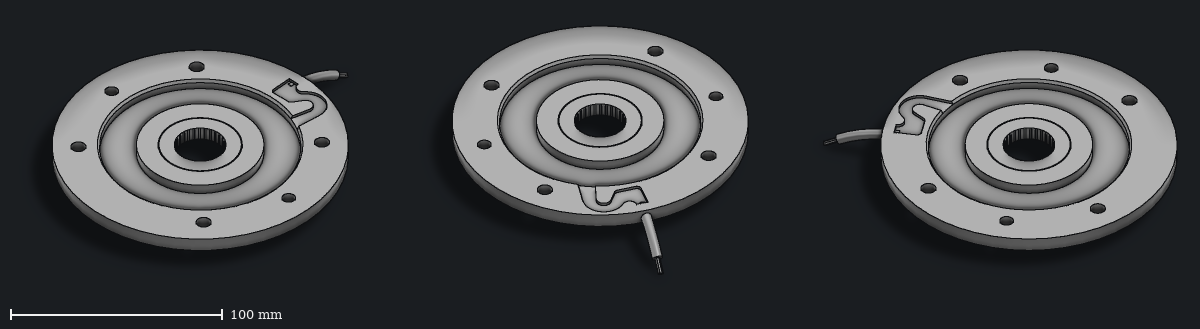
import cadquery as cq
import math

flange_radius = 70.0
flange_thickness = 7.1
spigot_radius = 47.5
spigot_height = 3.0
housing_height = flange_thickness + spigot_height

pocket_radius = 47.5
pocket_depth = 5.0
boss_radius = 30.0
lead_in_width = 1.0
lead_in_depth = 1.44

bolt_circle_radius = 57.5
side_hole_diameter = 6.5
diagonal_hole_diameter = 7.1
side_hole_angles = (0, 180)
diagonal_hole_angles = (45, 135, 225, 315)

hub_radius = 19.5
hub_clearance = 0.42
hub_thickness = 7.0
tooth_count = 28
tooth_tip_radius = 11.8
tooth_root_radius = 12.0
bore_rim_radius = 12.2
tooth_lead_in = 1.2
groove_tip_width = 1.0
groove_root_width = 0.8
groove_run_in = 0.8

channel_depth = lead_in_depth
chamber_left = -2.9
chamber_top = 64.2
chamber_bottom = 51.5
chamber_fillet = 2.0
dip_x = 6.3
dip_radius = 3.4
bend_x = 16.2
bend_outer_radius = 10.0
bend_inner_radius = 3.5
chamber_flank_angle = 34.5
outer_exit_angle = 7.5
inner_exit_angle = 15.7
channel_end_y = 38.9

cable_radius = 2.5
cable_start = cq.Vector(-0.7, 62.0, -3.7)
cable_heading_angle = 4.0
cable_bend_radius = 57.8
cable_bend_angle = 30.8
wire_radius = 0.55
wire_count = 4
wire_length = 8.0
wire_circle_radius = 0.71

up = cq.Vector(0, 0, 1)


def polar_points(radius, angles):
    return [
        (radius * math.cos(math.radians(angle)), radius * math.sin(math.radians(angle)))
        for angle in angles
    ]


def point_on_circle(centre, radius, angle):
    turn = math.radians(angle)
    return (centre[0] + radius * math.cos(turn), centre[1] + radius * math.sin(turn))


def point_down_to(start, tilt, end_y):
    """End of a line that runs from start down to end_y, leaning to -X by the tilt angle."""
    drop = start[1] - end_y
    return (start[0] - drop * math.tan(math.radians(tilt)), end_y)


def make_housing_shell():
    """Flange, spigot, pocket with its conical lead-in, boss and bore, as one turned profile."""
    bore_radius = hub_radius + hub_clearance
    profile = [
        (bore_radius, 0),
        (boss_radius, 0),
        (boss_radius, -pocket_depth),
        (pocket_radius, -pocket_depth),
        (pocket_radius, -lead_in_depth),
        (pocket_radius + lead_in_width, 0),
        (flange_radius, 0),
        (flange_radius, -flange_thickness),
        (spigot_radius, -flange_thickness),
        (spigot_radius, -housing_height),
        (bore_radius, -housing_height),
    ]
    return cq.Workplane("XZ").polyline(profile).close().revolve(360, (0, 0), (0, 1))


def make_mounting_holes(angles, diameter):
    places = polar_points(bolt_circle_radius, angles)
    return cq.Workplane("XY").pushPoints(places).circle(diameter / 2).extrude(-flange_thickness)


def make_channel():
    """Cutter for the cable channel; its arcs are tangent to each other and to the lines."""
    dip_centre = (dip_x, chamber_top)
    centre_drop = math.sqrt((bend_outer_radius + dip_radius) ** 2 - (bend_x - dip_x) ** 2)
    bend_centre = (bend_x, chamber_top - centre_drop)
    dip_end_angle = -math.degrees(math.atan2(centre_drop, bend_x - dip_x))

    dip_start = (dip_x - dip_radius, chamber_top)
    dip_middle = point_on_circle(dip_centre, dip_radius, (dip_end_angle - 180) / 2)
    dip_end = point_on_circle(dip_centre, dip_radius, dip_end_angle)
    outer_top = point_on_circle(bend_centre, bend_outer_radius, 90)
    outer_end = point_on_circle(bend_centre, bend_outer_radius, -outer_exit_angle)
    inner_start = point_on_circle(bend_centre, bend_inner_radius, -inner_exit_angle)
    inner_top = point_on_circle(bend_centre, bend_inner_radius, 90)
    inner_end = point_on_circle(bend_centre, bend_inner_radius, 180 - chamber_flank_angle)
    flank_end = point_down_to(inner_end, chamber_flank_angle, chamber_bottom)

    channel = (
        cq.Workplane("XY")
        .moveTo(chamber_left, chamber_top)
        .lineTo(*dip_start)
        .threePointArc(dip_middle, dip_end)
        .threePointArc(outer_top, outer_end)
        .lineTo(*point_down_to(outer_end, outer_exit_angle, channel_end_y))
        .lineTo(*point_down_to(inner_start, inner_exit_angle, channel_end_y))
        .lineTo(*inner_start)
        .threePointArc(inner_top, inner_end)
        .lineTo(*flank_end)
        .lineTo(chamber_left, chamber_bottom)
        .close()
        .extrude(-channel_depth)
    )
    for corner in (flank_end, (chamber_left, chamber_bottom)):
        nearest = cq.selectors.NearestToPointSelector((*corner, -channel_depth / 2))
        channel = channel.edges(nearest).fillet(chamber_fillet)
    return channel


def make_cable():
    """Sheath bent as a torus segment, with a bundle of wires that runs straight out of its end."""
    turn = math.radians(cable_heading_angle)
    heading = cq.Vector(math.sin(turn), math.cos(turn), 0)
    side = cq.Vector(math.cos(turn), -math.sin(turn), 0)
    bend = math.radians(cable_bend_angle)

    start_plane = cq.Plane(cable_start, side, heading)
    sheath = (
        cq.Workplane(start_plane)
        .circle(cable_radius)
        .revolve(cable_bend_angle, (1.7, cable_bend_radius), (0, cable_bend_radius))
    )

    sheath_end = (
        cable_start
        + heading * (cable_bend_radius * math.sin(bend))
        - up * (cable_bend_radius * (1 - math.cos(bend)))
    )
    wire_direction = heading * math.cos(bend) - up * math.sin(bend)
    wires = (
        cq.Workplane(cq.Plane(sheath_end, side, wire_direction))
        .polarArray(wire_circle_radius, 0, 360, wire_count)
        .circle(wire_radius)
        .extrude(wire_length)
    )
    return sheath.union(wires)


def make_housing():
    """Housing with the cable moulded into it."""
    return (
        make_housing_shell()
        .cut(make_mounting_holes(side_hole_angles, side_hole_diameter))
        .cut(make_mounting_holes(diagonal_hole_angles, diagonal_hole_diameter))
        .cut(make_channel())
        .union(make_cable())
    )


def make_tooth_lead_ins():
    """Two cones that taper the ends of the bore from its rim down to the tooth tips."""
    profile = [
        (0, 0),
        (bore_rim_radius, 0),
        (tooth_tip_radius, -tooth_lead_in),
        (tooth_tip_radius, tooth_lead_in - hub_thickness),
        (bore_rim_radius, -hub_thickness),
        (0, -hub_thickness),
    ]
    return cq.Workplane("XZ").polyline(profile).close().revolve(360, (0, 0), (0, 1))


def make_hub():
    """Ring whose bore carries evenly spaced straight-sided teeth."""
    ring = cq.Workplane("XY").circle(hub_radius).circle(tooth_tip_radius).extrude(-hub_thickness)
    groove_start = tooth_tip_radius - groove_run_in
    groove = (
        cq.Workplane("XY")
        .moveTo(groove_start, -groove_tip_width / 2)
        .lineTo(tooth_tip_radius, -groove_tip_width / 2)
        .lineTo(tooth_root_radius, -groove_root_width / 2)
        .lineTo(tooth_root_radius, groove_root_width / 2)
        .lineTo(tooth_tip_radius, groove_tip_width / 2)
        .lineTo(groove_start, groove_tip_width / 2)
        .close()
        .extrude(-hub_thickness)
    )
    for index in range(tooth_count):
        ring = ring.cut(groove.rotate((0, 0, 0), (0, 0, 1), (index + 0.5) * 360 / tooth_count))
    return ring.cut(make_tooth_lead_ins())


housing = make_housing()
hub = make_hub()

result = cq.Compound.makeCompound([housing.val(), hub.val()])